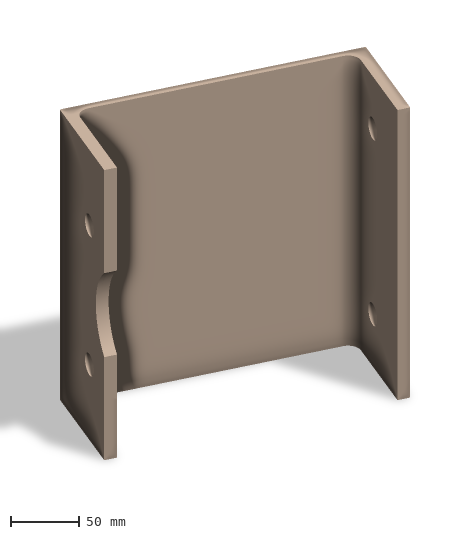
import cadquery as cq

length = 250.0
depth = 240.0
flange_width = 90.0
web_thickness = 6.0
flange_thickness = 10.0
root_radius = 10.0

hole_diameter = 18.0
front_hole_x = 60.0
front_hole_spacing = 120.0
back_hole_x = 40.0
back_hole_spacing = 160.0

notch_radius = 47.0
notch_depth = 17.0

front_flange_y = -depth / 2
back_flange_y = depth / 2 - flange_thickness


def channel():
    """Plain channel with rounded inner corners, open towards +X."""
    block = cq.Workplane("XY").box(flange_width, depth, length, centered=(False, True, True))
    hollow = (
        cq.Workplane("XY")
        .box(flange_width, depth - 2 * flange_thickness, length, centered=(False, True, True))
        .edges("|Z and <X")
        .fillet(root_radius)
        .translate((web_thickness, 0, 0))
    )
    return block.cut(hollow)


def flange_cutter(flange_y, x, z, radius):
    """Cylinder through the one flange that starts at flange_y and extends towards +Y."""
    return cq.Workplane("XZ", origin=(x, flange_y, z)).circle(radius).extrude(-flange_thickness)


def cut_hole_pair(body, flange_y, x, spacing):
    """Drill two bolt holes through one flange."""
    for z in (-spacing / 2, spacing / 2):
        body = body.cut(flange_cutter(flange_y, x, z, hole_diameter / 2))
    return body


result = channel()
result = cut_hole_pair(result, front_flange_y, front_hole_x, front_hole_spacing)
result = cut_hole_pair(result, back_flange_y, back_hole_x, back_hole_spacing)

notch_x = flange_width - notch_depth + notch_radius
result = result.cut(flange_cutter(front_flange_y, notch_x, 0, notch_radius))